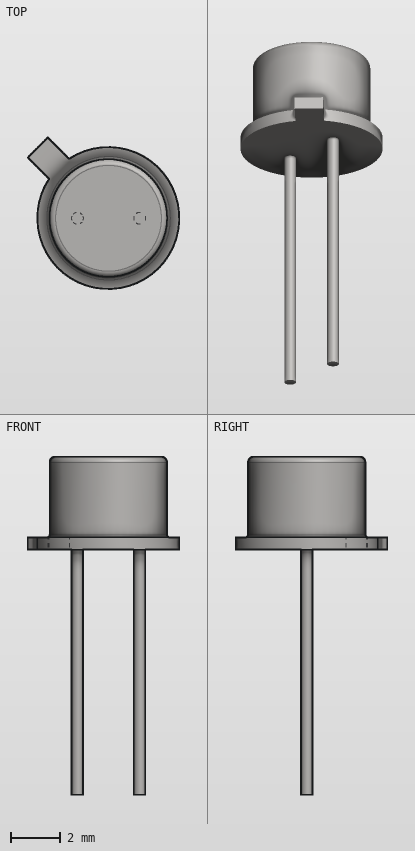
import cadquery as cq
import math

flange_diameter = 5.8
flange_thickness = 0.5

tab_angle = 135.0
tab_width = 1.16
tab_reach = 4.07

cap_diameter = 4.8
cap_top_height = 3.8
cap_edge_radius = 0.24
cap_foot_diameter = 5.04
cap_foot_radius = (cap_foot_diameter - cap_diameter) / 2

lead_diameter = 0.48
lead_length = 10.0
lead_pitch = 2.54


def make_flange():
    return cq.Workplane("XY").circle(flange_diameter / 2).extrude(flange_thickness)


def make_tab():
    """Rectangular bar running from the part axis out past the flange rim."""
    bar = cq.Workplane("XY").box(tab_reach, tab_width, flange_thickness, centered=(False, True, False))
    return bar.rotate((0, 0, 0), (0, 0, 1), tab_angle)


def make_cap():
    """Revolved cap with a rounded top edge and a concave flare where it meets the flange."""
    cap_radius = cap_diameter / 2
    foot_top = flange_thickness + cap_foot_radius
    edge_start = cap_top_height - cap_edge_radius
    diagonal = math.sqrt(0.5)
    flare_mid = (
        cap_radius + cap_foot_radius * (1 - diagonal),
        flange_thickness + cap_foot_radius * (1 - diagonal),
    )
    edge_mid = (
        cap_radius - cap_edge_radius * (1 - diagonal),
        edge_start + cap_edge_radius * diagonal,
    )
    profile = (
        cq.Workplane("XZ")
        .moveTo(0, flange_thickness)
        .lineTo(cap_foot_diameter / 2, flange_thickness)
        .threePointArc(flare_mid, (cap_radius, foot_top))
        .lineTo(cap_radius, edge_start)
        .threePointArc(edge_mid, (cap_radius - cap_edge_radius, cap_top_height))
        .lineTo(0, cap_top_height)
        .close()
    )
    return profile.revolve(360, (0, 0, 0), (0, 1, 0))


def make_leads():
    """Two straight leads hanging from the underside of the flange."""
    lead_centers = [(-lead_pitch / 2, 0), (lead_pitch / 2, 0)]
    return cq.Workplane("XY").pushPoints(lead_centers).circle(lead_diameter / 2).extrude(-lead_length)


result = make_flange().union(make_tab()).union(make_cap()).union(make_leads())